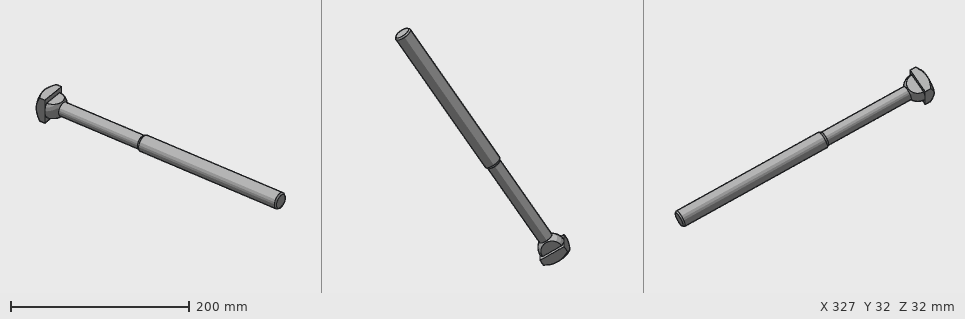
import cadquery as cq
import math

bolt_length = 327.0
head_width = 32.0
head_thickness = 12.0
neck_thickness = 20.0
shank_diameter = 17.0
thread_diameter = 20.0
corner_cone_angle = 36.0
thread_start = 137.5
runout_length = 2.5
end_chamfer_length = 2.0

head_radius = head_width / 2
shank_radius = shank_diameter / 2
thread_radius = thread_diameter / 2


def make_head():
    """Square block whose corners are turned off by a cone."""
    block = cq.Workplane("YZ").rect(head_width, head_width).extrude(head_thickness)
    back_radius = head_radius + head_thickness / math.tan(math.radians(corner_cone_angle))
    cone = (
        cq.Workplane("XY")
        .polyline([(0, 0), (0, head_radius), (head_thickness, back_radius), (head_thickness, 0)])
        .close()
        .revolve(360, (0, 0), (1, 0))
    )
    return block.intersect(cone)


def make_neck():
    """Hemisphere behind the head with flats above and below."""
    arc_middle = head_radius * math.sqrt(0.5)
    hemisphere = (
        cq.Workplane("XY")
        .moveTo(head_thickness, 0)
        .lineTo(head_thickness, head_radius)
        .threePointArc((head_thickness + arc_middle, arc_middle), (head_thickness + head_radius, 0))
        .close()
        .revolve(360, (0, 0), (1, 0))
    )
    slab = cq.Workplane("XY").box(bolt_length, head_width, neck_thickness)
    return hemisphere.intersect(slab)


def make_shank():
    """Plain shank, conical runout and thicker threaded end with a chamfered tip."""
    profile = [
        (head_thickness, 0),
        (head_thickness, shank_radius),
        (thread_start - runout_length, shank_radius),
        (thread_start, thread_radius),
        (bolt_length - end_chamfer_length, thread_radius),
        (bolt_length, shank_radius),
        (bolt_length, 0),
    ]
    return cq.Workplane("XY").polyline(profile).close().revolve(360, (0, 0), (1, 0))


result = make_head().union(make_neck()).union(make_shank())